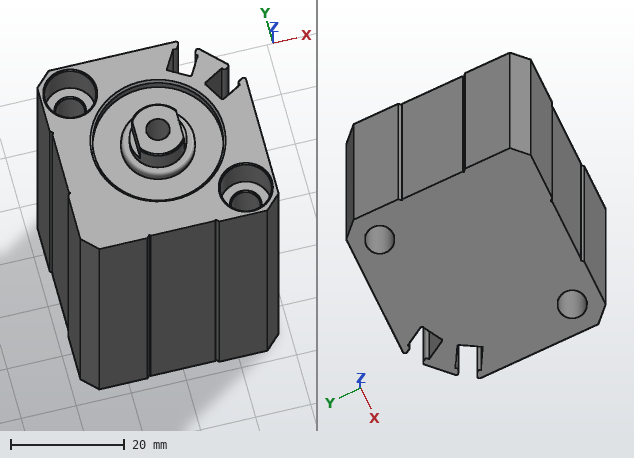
import cadquery as cq
import math

TOTAL_HEIGHT = 61.0
BODY_WIDTH = 36.0
BODY_HEIGHT = 56.55
HALF_WIDTH = BODY_WIDTH / 2
CORNER_CHAMFER = 2.75
SLOTTED_CORNER_CHAMFER = 8.95

PANEL_HALF_WIDTH = 6.5
PANEL_DEPTH = 0.3
GROOVE_DEPTH = 0.5

SLOT_ANGLES = (30.0, 60.0)
SLOT_FLOOR_RADIUS = 13.65
SLOT_LIP_RADIUS = 17.95
SLOT_END_RADIUS = 24.4
SLOT_WIDTH = 4.5
SLOT_MOUTH_WIDTH = 3.3
SLOT_FLOOR_FILLET = 0.3
SLOT_LIP_FILLET = 0.4
POSITION_TOLERANCE = 0.005

MOUNT_OFFSET = 12.7
MOUNT_HOLE_DIAMETER = 5.2
MOUNT_HOLE_CHAMFER = 0.25
COUNTERBORE_DIAMETER = 9.1
COUNTERBORE_DEPTH = 7.0
COUNTERBORE_CHAMFER = 0.25

RECESS_DIAMETER = 23.0
RECESS_DEPTH = 2.15
RECESS_CHAMFER = 0.4
COLLAR_DIAMETER = 13.05
COLLAR_HEIGHT = 1.65
COLLAR_FILLET = 0.55

ROD_DIAMETER = 10.05
ROD_LENGTH = 30.0
ROD_CHAMFER = 0.25
FLATS_WIDTH = 8.0
FLATS_LENGTH = 3.5
ROD_HOLE_DIAMETER = 4.15
ROD_HOLE_DEPTH = 10.0

ROD_BOTTOM = TOTAL_HEIGHT - ROD_LENGTH
RECESS_FLOOR = BODY_HEIGHT - RECESS_DEPTH


def cylinder(diameter, bottom, top):
    """Cylinder on the rod axis between two heights."""
    return cq.Workplane("XY").workplane(offset=bottom).circle(diameter / 2).extrude(top - bottom)


def conical_rim(diameter, chamfer, top):
    """Cone that chamfers the upper rim of a hole on the rod axis."""
    radius = diameter / 2
    return cq.Workplane(
        cq.Solid.makeCone(radius, radius + chamfer, chamfer, cq.Vector(0, 0, top - chamfer))
    )


def body_block():
    """Square bar with three small corner chamfers and a large one at the slotted corner."""
    block = cq.Workplane("XY").rect(BODY_WIDTH, BODY_WIDTH).extrude(BODY_HEIGHT)
    block = block.edges("|Z").edges("<X or <Y").chamfer(CORNER_CHAMFER)
    corner = (
        cq.Workplane("XY")
        .moveTo(HALF_WIDTH, HALF_WIDTH)
        .lineTo(HALF_WIDTH - SLOTTED_CORNER_CHAMFER, HALF_WIDTH)
        .lineTo(HALF_WIDTH, HALF_WIDTH - SLOTTED_CORNER_CHAMFER)
        .close()
        .extrude(BODY_HEIGHT)
    )
    return block.cut(corner)


def panel_recess():
    """Shallow recess along the -Y face, with a V groove at each side."""
    panel_y = -HALF_WIDTH + PANEL_DEPTH
    groove_y = -HALF_WIDTH + GROOVE_DEPTH
    groove_x = PANEL_HALF_WIDTH - GROOVE_DEPTH
    panel_x = groove_x - (GROOVE_DEPTH - PANEL_DEPTH)
    return (
        cq.Workplane("XY")
        .moveTo(-PANEL_HALF_WIDTH, -HALF_WIDTH)
        .lineTo(-groove_x, groove_y)
        .lineTo(-panel_x, panel_y)
        .lineTo(panel_x, panel_y)
        .lineTo(groove_x, groove_y)
        .lineTo(PANEL_HALF_WIDTH, -HALF_WIDTH)
        .close()
        .extrude(BODY_HEIGHT)
    )


def sensor_slot(angle):
    """Undercut slot along Z that opens outward in the given direction."""
    def channel(start, end, width):
        return (
            cq.Workplane("XY")
            .center((start + end) / 2, 0)
            .rect(end - start, width)
            .extrude(BODY_HEIGHT)
        )

    pocket = channel(SLOT_FLOOR_RADIUS, SLOT_LIP_RADIUS, SLOT_WIDTH)
    pocket = pocket.edges("|Z and <X").fillet(SLOT_FLOOR_FILLET)
    mouth = channel(SLOT_FLOOR_RADIUS, SLOT_END_RADIUS, SLOT_MOUTH_WIDTH)
    slot = pocket.union(mouth)
    return slot.rotate((0, 0, 0), (0, 0, 1), angle)


def round_slot_lips(body):
    """Round the corners of the lips at the slot mouths."""
    half_mouth = SLOT_MOUTH_WIDTH / 2
    lip_edges = []
    for edge in body.edges("|Z").vals():
        place = edge.Center()
        for angle in SLOT_ANGLES:
            turn = math.radians(angle)
            along = place.x * math.cos(turn) + place.y * math.sin(turn)
            across = place.y * math.cos(turn) - place.x * math.sin(turn)
            beyond_floor = along > SLOT_FLOOR_RADIUS
            if beyond_floor and abs(abs(across) - half_mouth) < POSITION_TOLERANCE:
                lip_edges.append(edge)
    return body.newObject(lip_edges).fillet(SLOT_LIP_FILLET)


def mounting_hole(x, y):
    """Through hole with a counterbore from the top, both with chamfered rims."""
    counterbore_floor = BODY_HEIGHT - COUNTERBORE_DEPTH

    hole = (
        cylinder(MOUNT_HOLE_DIAMETER, 0, BODY_HEIGHT)
        .union(conical_rim(MOUNT_HOLE_DIAMETER, MOUNT_HOLE_CHAMFER, counterbore_floor))
        .union(cylinder(COUNTERBORE_DIAMETER, counterbore_floor, BODY_HEIGHT))
        .union(conical_rim(COUNTERBORE_DIAMETER, COUNTERBORE_CHAMFER, BODY_HEIGHT))
    )
    return hole.translate((x, y, 0))


def rod_recess():
    """Round recess in the top face with a chamfered rim, less the collar left standing in it."""
    recess = cylinder(RECESS_DIAMETER, RECESS_FLOOR, BODY_HEIGHT)
    rim = conical_rim(RECESS_DIAMETER, RECESS_CHAMFER, BODY_HEIGHT)
    collar = cylinder(COLLAR_DIAMETER, RECESS_FLOOR, RECESS_FLOOR + COLLAR_HEIGHT)
    collar = collar.faces(">Z").edges().fillet(COLLAR_FILLET)
    return recess.union(rim).cut(collar)


def make_housing():
    """Cylinder housing with a blind bore for the rod."""
    body = body_block()
    body = body.cut(panel_recess())
    body = body.cut(panel_recess().rotate((0, 0, 0), (0, 0, 1), -90))
    for angle in SLOT_ANGLES:
        body = body.cut(sensor_slot(angle))
    body = round_slot_lips(body)
    for side in (-1, 1):
        body = body.cut(mounting_hole(side * MOUNT_OFFSET, -side * MOUNT_OFFSET))
    body = body.cut(rod_recess())
    return body.cut(cylinder(ROD_DIAMETER, ROD_BOTTOM, TOTAL_HEIGHT))


def make_rod():
    """Piston rod with two wrench flats and a blind hole in its end."""
    rod = cylinder(ROD_DIAMETER, ROD_BOTTOM, TOTAL_HEIGHT).faces(">Z").edges().chamfer(ROD_CHAMFER)
    flats_bottom = TOTAL_HEIGHT - FLATS_LENGTH
    flats_ring = cylinder(2 * ROD_DIAMETER, flats_bottom, TOTAL_HEIGHT)
    kept = cq.Workplane("XY").workplane(offset=flats_bottom)
    kept = kept.rect(FLATS_WIDTH, 2 * ROD_DIAMETER).extrude(FLATS_LENGTH)
    rod = rod.cut(flats_ring.cut(kept))
    return rod.cut(cylinder(ROD_HOLE_DIAMETER, TOTAL_HEIGHT - ROD_HOLE_DEPTH, TOTAL_HEIGHT))


housing = make_housing()
rod = make_rod()

result = cq.Compound.makeCompound([housing.val(), rod.val()])